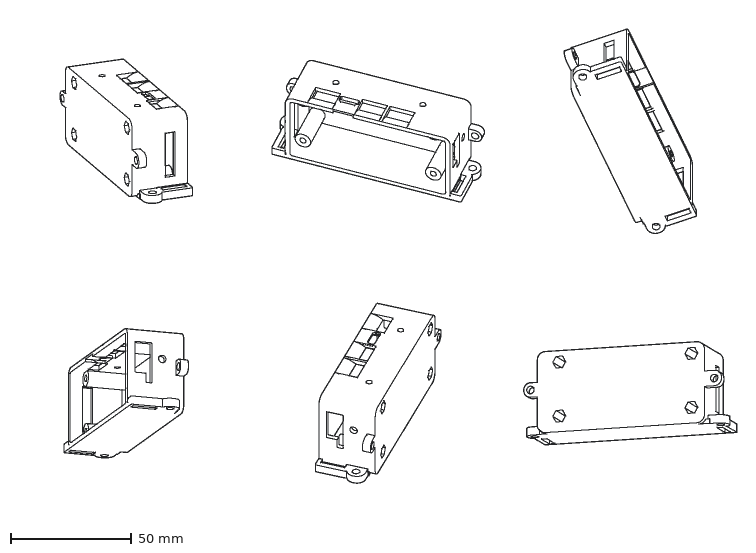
import cadquery as cq
import math

CASE_LENGTH = 73.4
CASE_DEPTH = 25.0
CASE_HEIGHT = 34.5
WALL = 2.0
CORNER_RADIUS = 3.5
CASE_LEFT = -CASE_LENGTH / 2
CASE_RIGHT = CASE_LENGTH / 2

STANDOFF_X = (CASE_LEFT + 9.7, CASE_RIGHT - 5.8)
STANDOFF_Z = (6.65, CASE_HEIGHT - 4.9)
STANDOFF_RADIUS = 3.5
STANDOFF_END = 19.3
SCREW_RADIUS = 1.3
NUT_ACROSS_FLATS = 4.9
NUT_POCKET_DEPTH = 12.4

PLUG_WINDOW_LEFT_EDGES = (CASE_LEFT + 19.5, CASE_LEFT + 31.7, CASE_LEFT + 52.55)
PLUG_WINDOW_LENGTH = 11.0
PLUG_WINDOW_FRONT = 15.0
RAMP_FRONT = 19.5
RAMP_START_ANGLE = 3.5
USB_CENTER_X = CASE_LEFT + 47.7
USB_LENGTH = 8.4
USB_FRONT = 16.2
USB_BACK = RAMP_FRONT
USB_CHAMFER = 1.15
USB_FILLET = 0.8
USB_WALL = 1.0
USB_RELIEF_MARGIN = 0.3
TOP_HOLE_X = (CASE_LEFT + 18.1, CASE_LEFT + 56.7)
TOP_HOLE_Y = 9.2
TOP_HOLE_RADIUS = 1.2

CARD_FRONT = 14.2
CARD_BACK = 21.6
CARD_TOP = 28.5
CARD_BOTTOM = 15.2
CARD_NOTCH_WIDTH = 2.7
CARD_NOTCH_BOTTOM = 11.25
CARD_FILLET = 0.4
END_HOLE_Y = 9.6
END_HOLE_Z = 22.0
END_HOLE_RADIUS = 1.6
CABLE_FRONT = 15.0
CABLE_HEIGHT = 19.5

TAB_THICKNESS = 3.55
TAB_HOLE_RADIUS = 1.6
FRONT_TAB_Z = 18.5
FOOT_Y = 7.3
FOOT_HALF_WIDTH = 4.1
FOOT_RADIUS = 3.9
STRAP_FRAME_FRONT = 11.0
STRAP_FRAME_CORNER = 0.7
STRAP_FRAME_WIDTH = 2.4
STRAP_SLOT_WIDTH = 2.4
STRAP_SLOT_BACK = 23.3
BASE_FRONT = 2.8
BASE_THICKNESS = 1.95
STRAP_RIGHT_OFFSET = 1.3
FOOT_RIGHT_GAP = 0.5


def box(x_range, y_range, z_range):
    """Box between two limits on each axis."""
    size = [high - low for low, high in (x_range, y_range, z_range)]
    corner = (x_range[0], y_range[0], z_range[0])
    return cq.Workplane("XY").box(*size, centered=False).translate(corner)


def rod_y(x, z, radius, y_start, y_end):
    """Cylinder along Y."""
    plane = cq.Workplane("XZ", origin=(x, y_start, z))
    return plane.circle(radius).extrude(y_start - y_end)


def rod_z(x, y, radius, z_start, z_end):
    """Cylinder along Z."""
    return cq.Workplane("XY", origin=(x, y, z_start)).circle(radius).extrude(z_end - z_start)


def shell():
    """Rounded case, open at the back, with a front plate."""
    outer = box((CASE_LEFT, CASE_RIGHT), (0, CASE_DEPTH), (0, CASE_HEIGHT))
    outer = outer.edges("|Y").fillet(CORNER_RADIUS)
    cavity = box(
        (CASE_LEFT + WALL, CASE_RIGHT - WALL),
        (WALL, CASE_DEPTH),
        (WALL, CASE_HEIGHT - WALL),
    )
    return outer.cut(cavity.edges("|Y").fillet(CORNER_RADIUS - WALL))


def rounded_lug(side, start, tip, y_range, z_range, axis, radius):
    """Plate standing off an end wall, its two outer corners rounded about the given axis."""
    wall_x = side * CASE_RIGHT
    x_range = sorted((wall_x + side * start, wall_x + side * tip))
    outer_edges = f"|{axis} and >X" if side > 0 else f"|{axis} and <X"
    return box(x_range, y_range, z_range).edges(outer_edges).fillet(radius)


def front_tab(side, tip, half_width, radius, hole_reach):
    """Rounded ear level with the front plate; side is -1 for left and 1 for right."""
    z_range = (FRONT_TAB_Z - half_width, FRONT_TAB_Z + half_width)
    tab = rounded_lug(side, -WALL, tip, (0, TAB_THICKNESS), z_range, "Y", radius)
    hole_x = side * (CASE_RIGHT + hole_reach)
    return tab.cut(rod_y(hole_x, FRONT_TAB_Z, TAB_HOLE_RADIUS, 0, TAB_THICKNESS))


def foot(side, gap, tip, hole_reach, strap_offset, slot_front):
    """Floor-level lug with a screw hole, and a strap frame running to the back."""
    z_range = (0, TAB_THICKNESS)
    lug_y = (FOOT_Y - FOOT_HALF_WIDTH, FOOT_Y + FOOT_HALF_WIDTH)
    lug = rounded_lug(side, gap, tip, lug_y, z_range, "Z", FOOT_RADIUS)
    slot_outer = strap_offset + STRAP_SLOT_WIDTH
    frame_tip = slot_outer + STRAP_FRAME_WIDTH
    frame_y = (STRAP_FRAME_FRONT, CASE_DEPTH)
    frame = rounded_lug(side, 0, frame_tip, frame_y, z_range, "Z", STRAP_FRAME_CORNER)
    slot_x = sorted((side * (CASE_RIGHT + strap_offset), side * (CASE_RIGHT + slot_outer)))
    slot = box(slot_x, (slot_front, STRAP_SLOT_BACK), z_range)
    hole = rod_z(side * (CASE_RIGHT + hole_reach), FOOT_Y, TAB_HOLE_RADIUS, 0, TAB_THICKNESS)
    return lug.union(frame).cut(slot).cut(hole)


def base_strip():
    """Square-edged strip in the floor that carries both feet under the rounded corners."""
    return box(
        (CASE_LEFT, CASE_RIGHT + STRAP_RIGHT_OFFSET),
        (BASE_FRONT, CASE_DEPTH),
        (0, BASE_THICKNESS),
    )


def plug_window(left_edge):
    """Top wall opening whose back is a convex ramp rising to the open back edge."""
    inner_z = CASE_HEIGHT - WALL
    run = CASE_DEPTH - RAMP_FRONT
    chord = math.hypot(run, WALL)
    half_sweep = math.atan2(WALL, run) - math.radians(RAMP_START_ANGLE)
    sagitta = chord / 2 * math.tan(half_sweep / 2)
    mid_y = (RAMP_FRONT + CASE_DEPTH) / 2 - sagitta * WALL / chord
    mid_z = (inner_z + CASE_HEIGHT) / 2 + sagitta * run / chord
    profile = (
        cq.Workplane("YZ", origin=(left_edge, 0, 0))
        .moveTo(PLUG_WINDOW_FRONT, inner_z)
        .lineTo(RAMP_FRONT, inner_z)
        .threePointArc((mid_y, mid_z), (CASE_DEPTH, CASE_HEIGHT))
        .lineTo(PLUG_WINDOW_FRONT, CASE_HEIGHT)
        .close()
    )
    return profile.extrude(PLUG_WINDOW_LENGTH)


def usb_window():
    """Connector opening with two chamfered and two rounded corners, relieved on the inside."""
    half = USB_LENGTH / 2
    opening = box(
        (USB_CENTER_X - half, USB_CENTER_X + half),
        (USB_FRONT, USB_BACK),
        (CASE_HEIGHT - WALL, CASE_HEIGHT),
    )
    opening = opening.faces(">Y").edges("|Z").chamfer(USB_CHAMFER)
    opening = opening.faces("<Y").edges("|Z").fillet(USB_FILLET)
    relief_half = half + USB_RELIEF_MARGIN
    relief = box(
        (USB_CENTER_X - relief_half, USB_CENTER_X + relief_half),
        (USB_FRONT, CASE_DEPTH),
        (CASE_HEIGHT - WALL, CASE_HEIGHT - USB_WALL),
    )
    return opening.union(relief)


def card_window():
    """Stepped opening through the left wall."""
    x_range = (CASE_LEFT, CASE_LEFT + WALL)
    main = box(x_range, (CARD_FRONT, CARD_BACK), (CARD_BOTTOM, CARD_TOP))
    notch = box(
        x_range,
        (CARD_FRONT, CARD_FRONT + CARD_NOTCH_WIDTH),
        (CARD_NOTCH_BOTTOM, CARD_TOP),
    )
    main = main.edges("|X and >Y and <Z").fillet(CARD_FILLET)
    main = main.edges("|X and <Y and >Z").fillet(CARD_FILLET)
    notch = notch.edges("|X").fillet(CARD_FILLET)
    return main.union(notch)


def cable_window():
    """Plain opening through the right wall, centred on the case height."""
    middle = CASE_HEIGHT / 2
    return box(
        (CASE_RIGHT - WALL, CASE_RIGHT),
        (CABLE_FRONT, STANDOFF_END),
        (middle - CABLE_HEIGHT / 2, middle + CABLE_HEIGHT / 2),
    )


def screw_and_nut(x, z):
    """Screw hole through a stand-off, with a hexagonal nut pocket from the front."""
    across_corners = NUT_ACROSS_FLATS / math.cos(math.pi / 6)
    nut = cq.Workplane("XZ", origin=(x, 0, z)).polygon(6, across_corners)
    return nut.extrude(-NUT_POCKET_DEPTH).union(rod_y(x, z, SCREW_RADIUS, 0, STANDOFF_END))


result = shell().union(base_strip())
result = result.union(front_tab(-1, tip=5.9, half_width=3.1, radius=2.9, hole_reach=3.0))
result = result.union(front_tab(1, tip=7.4, half_width=3.3, radius=3.0, hole_reach=4.25))
left_foot = foot(-1, gap=0, tip=6.7, hole_reach=3.4, strap_offset=0, slot_front=12.7)
right_foot = foot(
    1,
    gap=FOOT_RIGHT_GAP,
    tip=8.5,
    hole_reach=4.8,
    strap_offset=STRAP_RIGHT_OFFSET,
    slot_front=12.4,
)
result = result.union(left_foot).union(right_foot)

for left_edge in PLUG_WINDOW_LEFT_EDGES:
    result = result.cut(plug_window(left_edge))
result = result.cut(usb_window()).cut(card_window()).cut(cable_window())
for hole_x in TOP_HOLE_X:
    result = result.cut(rod_z(hole_x, TOP_HOLE_Y, TOP_HOLE_RADIUS, CASE_HEIGHT - WALL, CASE_HEIGHT))
end_hole = cq.Workplane("YZ", origin=(CASE_LEFT, END_HOLE_Y, END_HOLE_Z))
result = result.cut(end_hole.circle(END_HOLE_RADIUS).extrude(WALL))

for post_x in STANDOFF_X:
    for post_z in STANDOFF_Z:
        result = result.union(rod_y(post_x, post_z, STANDOFF_RADIUS, 0, STANDOFF_END))
        result = result.cut(screw_and_nut(post_x, post_z))